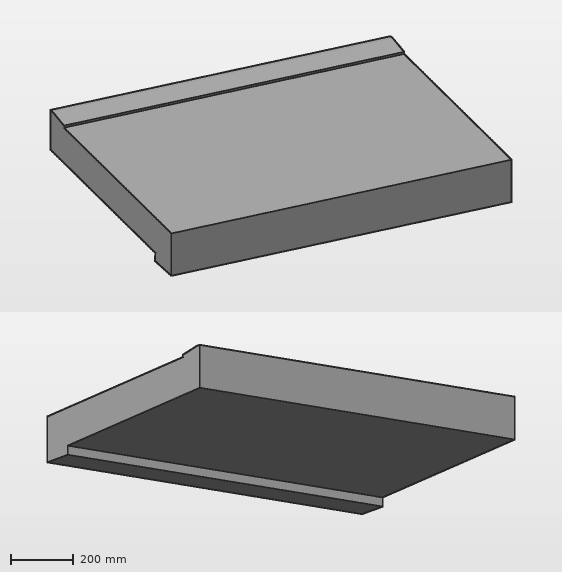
import cadquery as cq

length = 883.0
width = 1216.0
height = 203.0

fall = 0.04
front_depth = 142.0
back_top = 152.0

lip_flat = 18.0
lip_length = 100.0
lip_drop = 12.0

foot_length = 120.0

foot_start = length - foot_length
underside_start = height - front_depth
underside_end = underside_start - fall * foot_start
wall_lean = fall * underside_end
toe_height = back_top + fall * (length - lip_length)

outline = (
    cq.Workplane("XZ")
    .moveTo(0, height)
    .lineTo(0, underside_start)
    .lineTo(foot_start + wall_lean, underside_end)
    .lineTo(foot_start, 0)
    .lineTo(length, 0)
    .lineTo(length, back_top)
    .lineTo(lip_length, toe_height)
    .lineTo(lip_length, height - lip_drop)
    .lineTo(lip_flat, height)
    .close()
)

result = outline.extrude(width / 2, both=True)